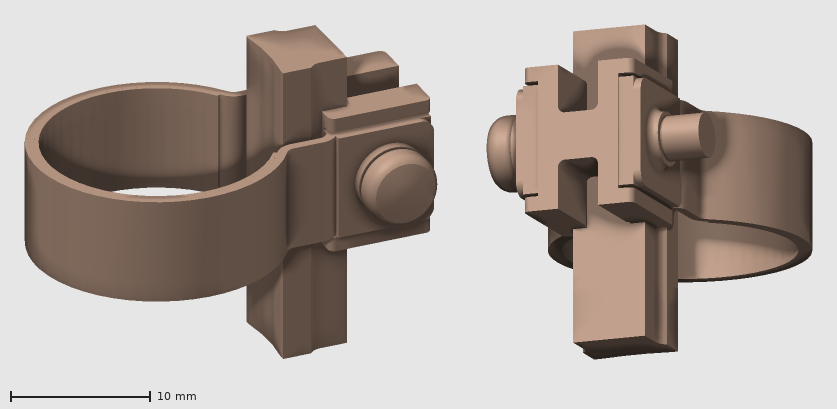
import cadquery as cq
import math


band_height = 8.0
band_thickness = 0.7
band_outer_radius = 9.5
band_inner_radius = band_outer_radius - band_thickness
neck_outer_x = 4.9
neck_inner_x = neck_outer_x - band_thickness
lower_bend_radius = 0.88
upper_bend_radius = 0.82

liner_thickness = 0.3
liner_inner_radius = band_inner_radius - liner_thickness
liner_end_angle = 35.0

bracket_top_y = 19.7
bracket_length = 8.0
bracket_bottom_y = bracket_top_y - bracket_length
bracket_width = 8.53
bracket_height = 10.65
bracket_corner_radius = 0.5
flange_thickness = 1.08
flange_spacing = bracket_height - 2 * flange_thickness
core_width = 6.2
groove_width = 3.1
groove_fillet = 0.53
groove_floor_z = 1.75
notch_width = 3.4
notch_top_y = 14.25

plate_outer_x = 4.82
plate_top_y = 19.62
plate_bottom_y = 12.1
plate_corner_radius = 1.0

rail_top_z = 9.3
rail_length = 23.0
rail_neck_half_width = 2.77
rail_half_width = 3.25
rail_top_y = 13.7
rail_neck_end_y = 11.6
rail_bevel = 0.2
rail_shoulder_y = 10.65
rail_bottom_y = 8.47
rail_hollow_half_width = 2.75
rail_hollow_depth = 0.23

screw_axis_y = 16.18
pin_end_x = -8.55
pin_radius = 1.64
relief_start_x = -5.7
relief_radius = 1.55
collar_end_x = -5.55
collar_radius = 2.0
collar_fillet = 0.53
head_radius = 2.77
seat_end_x = 5.52
rim_step = 0.25
rim_end_x = 6.02
dome_start_x = 6.63
dome_edge_x = 7.53
dome_edge_radius = 2.35
dome_top_x = 7.95
dome_cap_height = dome_top_x - dome_edge_x
dome_cap_radius = (dome_edge_radius**2 + dome_cap_height**2) / (2 * dome_cap_height)


def make_band():
    """Open ring whose ends bend into straight necks and then inwards to the bracket core."""
    end_x = core_width / 2
    upper_outer_radius = upper_bend_radius + band_thickness
    upper_x = neck_inner_x - upper_bend_radius
    upper_y = bracket_bottom_y - upper_bend_radius
    lower_x = neck_outer_x + lower_bend_radius
    lower_reach = band_outer_radius + lower_bend_radius
    lower_y = math.sqrt(lower_reach**2 - lower_x**2)
    lower_angle = math.atan2(lower_y, lower_x)

    def side_points(ring_radius, neck_x, lower_radius, upper_radius):
        """Points of the +X side, from the ring up to the end, with the middle of each bend."""
        middle = (math.pi + lower_angle) / 2 + math.pi / 2
        slant = upper_radius / math.sqrt(2)
        return {
            "ring": (ring_radius * math.cos(lower_angle), ring_radius * math.sin(lower_angle)),
            "lower_middle": (
                lower_x + lower_radius * math.cos(middle),
                lower_y + lower_radius * math.sin(middle),
            ),
            "neck_low": (neck_x, lower_y),
            "neck_high": (neck_x, upper_y),
            "upper_middle": (upper_x + slant, upper_y + slant),
            "bend_end": (upper_x, upper_y + upper_radius),
            "end": (end_x, upper_y + upper_radius),
        }

    def mirrored(points):
        return {name: (-x, y) for name, (x, y) in points.items()}

    def draw_down(sketch, side):
        sketch = sketch.lineTo(*side["bend_end"])
        sketch = sketch.threePointArc(side["upper_middle"], side["neck_high"])
        sketch = sketch.lineTo(*side["neck_low"])
        return sketch.threePointArc(side["lower_middle"], side["ring"])

    def draw_up(sketch, side):
        sketch = sketch.threePointArc(side["lower_middle"], side["neck_low"])
        sketch = sketch.lineTo(*side["neck_high"])
        sketch = sketch.threePointArc(side["upper_middle"], side["bend_end"])
        return sketch.lineTo(*side["end"])

    outer = side_points(band_outer_radius, neck_outer_x, lower_bend_radius, upper_outer_radius)
    lower_outer_radius = lower_bend_radius + band_thickness
    inner = side_points(band_inner_radius, neck_inner_x, lower_outer_radius, upper_bend_radius)
    outer_left = mirrored(outer)
    inner_left = mirrored(inner)

    sketch = cq.Workplane("XY", origin=(0, 0, -band_height / 2)).moveTo(*outer_left["end"])
    sketch = draw_down(sketch, outer_left)
    sketch = sketch.threePointArc((0, -band_outer_radius), outer["ring"])
    sketch = draw_up(sketch, outer)
    sketch = sketch.lineTo(*inner["end"])
    sketch = draw_down(sketch, inner)
    sketch = sketch.threePointArc((0, -band_inner_radius), inner_left["ring"])
    sketch = draw_up(sketch, inner_left)
    return sketch.close().extrude(band_height)


def make_bracket():
    """Two flanges joined by a narrower core, with a groove along Y and a notch for the rail."""
    middle_y = (bracket_top_y + bracket_bottom_y) / 2
    bracket = cq.Workplane("XY", origin=(0, middle_y, 0)).box(bracket_width, bracket_length, bracket_height)
    bracket = bracket.edges("|Z").fillet(bracket_corner_radius)

    side_depth = (bracket_width - core_width) / 2
    side_x = (bracket_width + core_width) / 4
    side_slot = cq.Workplane("XY").box(side_depth, bracket_length, flange_spacing)
    groove_depth = bracket_height / 2 - groove_floor_z
    groove_z = bracket_height / 2 - groove_depth / 2
    groove = cq.Workplane("XY").box(groove_width, bracket_length, groove_depth)
    groove = groove.edges("|Y and <Z").fillet(groove_fillet)
    groove = groove.translate((0, middle_y, groove_z))
    for sign in (-1, 1):
        bracket = bracket.cut(side_slot.translate((sign * side_x, middle_y, 0)))
    for opening in (groove, groove.mirror("XY")):
        bracket = bracket.cut(opening)

    notch_length = notch_top_y - bracket_bottom_y
    notch = cq.Workplane("XY").box(notch_width, notch_length, bracket_height)
    return bracket.cut(notch.translate((0, bracket_bottom_y + notch_length / 2, 0)))


def make_lug(sign):
    """Lug on the side of X given by the sign: a square pad on the core and a rounded plate outside."""
    core_x = core_width / 2
    flange_x = bracket_width / 2
    length = plate_top_y - plate_bottom_y
    middle_y = (plate_top_y + plate_bottom_y) / 2
    pad = cq.Workplane("XY").box(flange_x - core_x, length, band_height)
    plate = cq.Workplane("XY").box(plate_outer_x - flange_x, length, band_height)
    plate = plate.edges("|X and >Y").fillet(plate_corner_radius)
    pad = pad.translate((sign * (core_x + flange_x) / 2, middle_y, 0))
    plate = plate.translate((sign * (flange_x + plate_outer_x) / 2, middle_y, 0))
    return pad.union(plate)


def make_rail():
    """Long rail with a narrow neck, curved, bevelled shoulders and a hollow face towards the ring."""
    bevel_x = rail_half_width - rail_bevel
    bevel_y = rail_shoulder_y + rail_bevel
    step = bevel_x - rail_neck_half_width
    drop = rail_neck_end_y - bevel_y
    shoulder_radius = (step**2 + drop**2) / (2 * step)
    half_turn = math.asin(drop / shoulder_radius) / 2
    shoulder_middle_x = rail_neck_half_width + shoulder_radius * (1 - math.cos(half_turn))
    shoulder_middle_y = rail_neck_end_y - shoulder_radius * math.sin(half_turn)
    profile = (
        cq.Workplane("XY", origin=(0, 0, rail_top_z - rail_length))
        .moveTo(-rail_neck_half_width, rail_top_y)
        .lineTo(rail_neck_half_width, rail_top_y)
        .lineTo(rail_neck_half_width, rail_neck_end_y)
        .threePointArc((shoulder_middle_x, shoulder_middle_y), (bevel_x, bevel_y))
        .lineTo(rail_half_width, rail_shoulder_y)
        .lineTo(rail_half_width, rail_bottom_y)
        .lineTo(rail_hollow_half_width, rail_bottom_y)
        .threePointArc((0, rail_bottom_y + rail_hollow_depth), (-rail_hollow_half_width, rail_bottom_y))
        .lineTo(-rail_half_width, rail_bottom_y)
        .lineTo(-rail_half_width, rail_shoulder_y)
        .lineTo(-bevel_x, bevel_y)
        .threePointArc((-shoulder_middle_x, shoulder_middle_y), (-rail_neck_half_width, rail_neck_end_y))
        .close()
    )
    return profile.extrude(rail_length)


def tangent_rise(start_x, end_x, step):
    """Middle and end of an arc that rises by the step and ends level at the head radius."""
    run = end_x - start_x
    radius = (run**2 + step**2) / (2 * step)
    half_turn = math.asin(run / radius) / 2
    middle = (end_x - radius * math.sin(half_turn), head_radius - radius * (1 - math.cos(half_turn)))
    return middle, (end_x, head_radius)


def make_screw():
    """Screw along X: pin, thread relief, flared collar, shank, seat and domed head."""
    flare_start_x = -plate_outer_x - collar_fillet
    flare_radius = collar_radius + collar_fillet
    flare_offset = collar_fillet / math.sqrt(2)
    flare_middle = (flare_start_x + flare_offset, flare_radius - flare_offset)
    cap_middle_radius = dome_edge_radius / 2
    cap_sag = dome_cap_radius - math.sqrt(dome_cap_radius**2 - cap_middle_radius**2)
    half_profile = (
        cq.Workplane("XY", origin=(0, screw_axis_y, 0))
        .moveTo(pin_end_x, 0)
        .lineTo(pin_end_x, pin_radius)
        .lineTo(relief_start_x, pin_radius)
        .lineTo(relief_start_x, relief_radius)
        .lineTo(collar_end_x, relief_radius)
        .lineTo(collar_end_x, collar_radius)
        .lineTo(flare_start_x, collar_radius)
        .threePointArc(flare_middle, (-plate_outer_x, flare_radius))
        .lineTo(-plate_outer_x, pin_radius)
        .lineTo(plate_outer_x, pin_radius)
        .lineTo(plate_outer_x, head_radius)
        .lineTo(seat_end_x, head_radius)
        .lineTo(seat_end_x, head_radius - rim_step)
        .threePointArc(*tangent_rise(seat_end_x, rim_end_x, rim_step))
        .lineTo(dome_start_x, head_radius)
        .tangentArcPoint((dome_edge_x, dome_edge_radius), relative=False)
        .threePointArc((dome_top_x - cap_sag, cap_middle_radius), (dome_top_x, 0))
        .close()
    )
    return half_profile.revolve(360, (0, 0, 0), (1, 0, 0))


def make_liner():
    """Thin strip lying against the inside of the ring, open towards +Y."""
    end_x = math.sin(math.radians(liner_end_angle))
    end_y = math.cos(math.radians(liner_end_angle))
    return (
        cq.Workplane("XY", origin=(0, 0, -band_height / 2))
        .moveTo(-band_inner_radius * end_x, band_inner_radius * end_y)
        .threePointArc((0, -band_inner_radius), (band_inner_radius * end_x, band_inner_radius * end_y))
        .lineTo(liner_inner_radius * end_x, liner_inner_radius * end_y)
        .threePointArc((0, -liner_inner_radius), (-liner_inner_radius * end_x, liner_inner_radius * end_y))
        .close()
        .extrude(band_height)
    )


def make_clamp():
    """Band, bracket, lugs, rail and screw as one solid."""
    clamp = make_bracket().union(make_band())
    for sign in (-1, 1):
        clamp = clamp.union(make_lug(sign))
    return clamp.union(make_screw()).union(make_rail())


clamp = make_clamp()
liner = make_liner()

result = cq.Compound.makeCompound([clamp.val(), liner.val()])